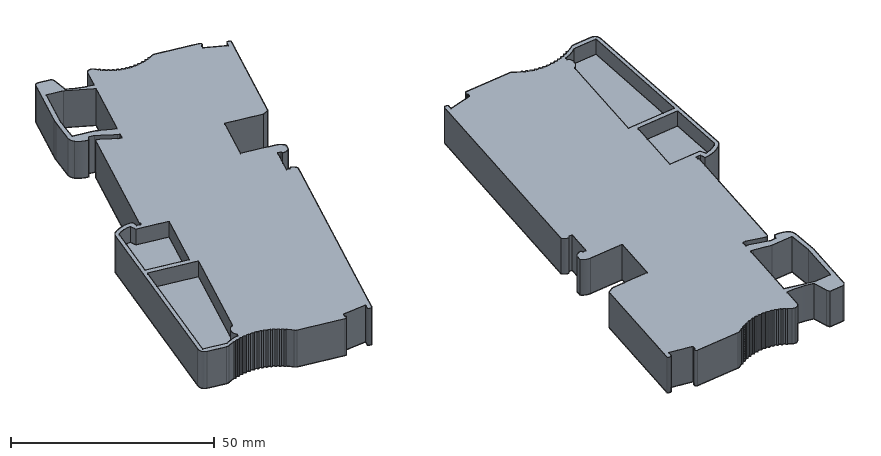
import cadquery as cq
import math

length = 107.0
width = 50.6
thickness = 12.2

housing_bottom_y = 13.55
housing_corner_radius = 1.0
block_left_x = 24.8
block_bottom_y = 7.1
block_corner_radius = 0.35
relief_left_x = 57.15
relief_right_x = 57.7
relief_top_y = 7.4

gap_right_x = 26.2
gap_bend_y = 12.6
gap_mouth_y = 7.7

latch_shoulder_y = 43.5
latch_shoulder_radius = 0.5
latch_step_x = 0.9
latch_step = 0.3
latch_floor_x = 1.75
latch_inner_x = 3.05
lip_end_x = 1.6
lip_height = 1.2
lip_radius = 0.35

slot_left_x = 29.65
slot_right_x = 41.3
slot_floor_y = 39.0
slot_left_corner_x = 28.8
slot_left_corner_y = 49.1
slot_right_corner_x = 42.2
slot_right_corner_y = 48.1

key_left_x = 44.15
key_right_x = 50.65
key_floor_y = 47.65
key_undercut_y = 48.55
key_nose_y = 48.8
key_nose = 0.45
key_mouth = 0.45

left_grip_y = 23.07
left_grip_radius = 13.1
left_grip_depth = 2.6
right_grip_y = 21.3
right_grip_radius = 15.2
right_grip_depth = 2.8
grip_end_blend = 1.3
ridge_count = 13
ridge_pitch = 1.12
ridge_radius = 0.25

clip_left_x = 0.35
clip_corner_radius = 0.8
clip_top_y = 6.35
clip_leg_x = 4.8
clip_bend_x = 15.2
clip_bend_half = 0.55
clip_hook_x = 24.3
clip_hook_y = 5.6
clip_inner_leg_x = 23.2

opening_left_x = 5.25
opening_right_x = 21.6
opening_floor_y = 1.25
opening_top_left_x = 7.15
opening_top_right_x = 22.6

sole_start_x = 59.8
sole_start_y = 0.04
sole_end_x = 105.3
sole_end_y = 5.23
sole_slope = (sole_end_y - sole_start_y) / (sole_end_x - sole_start_x)
foot_wall = 1.05
foot_hook_x = 56.4
foot_hook_y = 5.65
foot_heel_y = 7.0

pocket_depth = 5.2
rib_left_x = 73.85
rib_right_x = 75.05
small_pocket_left_x = 58.95
small_pocket_top_y = 14.2
small_pocket_toe_x = 59.3
long_pocket_top_y = 16.15
long_pocket_right_x = 105.8
bump_left_x = 100.05
bump_right_x = 103.5
bump_height = 1.05
long_pocket_corner_x = 104.1


def prism(outline):
    return outline.close().extrude(thickness)


def polygon(points):
    return prism(cq.Workplane("XY").polyline(points))


def round_edge_at(body, x, y, radius):
    """Round the vertical edge that stands at (x, y)."""
    edge_middle = (x, y, thickness / 2)
    return body.edges(cq.NearestToPointSelector(edge_middle)).fillet(radius)


def housing():
    upper = polygon([(0, housing_bottom_y), (length, housing_bottom_y), (length, width), (0, width)])
    upper = round_edge_at(upper, 0, housing_bottom_y, housing_corner_radius)
    block = polygon([
        (block_left_x, block_bottom_y),
        (relief_left_x, block_bottom_y),
        (relief_left_x, relief_top_y),
        (relief_right_x, relief_top_y),
        (relief_right_x, housing_bottom_y),
        (gap_right_x, housing_bottom_y),
        (gap_right_x, gap_bend_y),
        (block_left_x, gap_mouth_y),
    ])
    block = round_edge_at(block, block_left_x, block_bottom_y, block_corner_radius)
    return upper.union(block)


def latch_recess():
    """Recess at the top left corner, leaving a rounded lip along the top edge."""
    lip_y = width - lip_height
    return prism(
        cq.Workplane("XY")
        .moveTo(0, latch_shoulder_y - latch_shoulder_radius)
        .radiusArc((latch_shoulder_radius, latch_shoulder_y), latch_shoulder_radius)
        .lineTo(latch_step_x, latch_shoulder_y)
        .lineTo(latch_step_x, latch_shoulder_y - latch_step)
        .lineTo(latch_floor_x, latch_shoulder_y - latch_step)
        .lineTo(latch_inner_x, lip_y)
        .lineTo(lip_end_x + lip_radius, lip_y)
        .radiusArc((lip_end_x, lip_y + lip_radius), lip_radius)
        .lineTo(lip_end_x, width - lip_radius)
        .radiusArc((lip_end_x + lip_radius, width), lip_radius)
        .lineTo(0, width)
    )


def wide_slot():
    """Slot with a sloping left corner and a rounded right corner."""
    return prism(
        cq.Workplane("XY")
        .moveTo(slot_left_x, slot_floor_y)
        .lineTo(slot_left_x, slot_left_corner_y)
        .lineTo(slot_left_corner_x, width)
        .lineTo(slot_right_corner_x, width)
        .threePointArc((41.6, 49.6), (slot_right_x, slot_right_corner_y))
        .lineTo(slot_right_x, slot_floor_y)
    )


def key_slot():
    """Slot narrowed by a rounded nose on each side of its mouth."""
    nose_left_x = key_left_x + key_nose
    nose_right_x = key_right_x - key_nose
    nose_middle_y = 49.9
    nose_bulge = 0.25
    return prism(
        cq.Workplane("XY")
        .moveTo(key_left_x, key_floor_y)
        .lineTo(key_left_x, key_undercut_y)
        .lineTo(nose_left_x, key_nose_y)
        .threePointArc((nose_left_x - nose_bulge, nose_middle_y), (key_left_x - key_mouth, width))
        .lineTo(key_right_x + key_mouth, width)
        .threePointArc((nose_right_x + nose_bulge, nose_middle_y), (nose_right_x, key_nose_y))
        .lineTo(key_right_x, key_undercut_y)
        .lineTo(key_right_x, key_floor_y)
    )


def cylinder(x, y, radius):
    return cq.Workplane("XY").center(x, y).circle(radius).extrude(thickness)


def cut_grip(body, end_x, inward, centre_y, radius, depth):
    """Cut a cylindrical finger recess with fine ridges on its wall and rounded ends."""
    centre_x = end_x + inward * (depth - radius)
    cutter = cylinder(centre_x, centre_y, radius)
    pitch_angle = ridge_pitch / radius
    for index in range(ridge_count):
        angle = (index - (ridge_count - 1) / 2) * pitch_angle
        ridge_x = centre_x + inward * radius * math.cos(angle)
        ridge_y = centre_y + radius * math.sin(angle)
        cutter = cutter.cut(cylinder(ridge_x, ridge_y, ridge_radius))
    body = body.cut(cutter)

    half_opening = math.sqrt(radius**2 - (radius - depth) ** 2)
    for edge_y in (centre_y - half_opening, centre_y + half_opening):
        body = round_edge_at(body, end_x, edge_y, grip_end_blend)
    return body


def clip_foot():
    """Springy hook on the left, hanging from two legs."""
    outside = prism(
        cq.Workplane("XY")
        .moveTo(5.75, housing_bottom_y)
        .threePointArc((5.5, 9.9), (clip_leg_x, clip_top_y))
        .lineTo(1.1, 4.95)
        .lineTo(clip_left_x, 4.45)
        .lineTo(clip_left_x, clip_corner_radius)
        .radiusArc((clip_left_x + clip_corner_radius, 0), -clip_corner_radius)
        .lineTo(clip_bend_x - clip_bend_half, 0)
        .threePointArc((clip_bend_x, 0.02), (clip_bend_x + clip_bend_half, 0.08))
        .lineTo(22.0, 0.95)
        .threePointArc((22.95, 1.4), (23.6, 2.15))
        .threePointArc((24.2, 3.9), (clip_hook_x, clip_hook_y))
        .lineTo(clip_inner_leg_x, 5.9)
        .lineTo(clip_inner_leg_x, 7.4)
        .lineTo(block_left_x, 12.9)
        .lineTo(block_left_x, housing_bottom_y)
    )
    opening = polygon([
        (opening_top_left_x, housing_bottom_y),
        (opening_top_right_x, housing_bottom_y),
        (opening_top_right_x, 12.7),
        (opening_right_x, 8.0),
        (opening_right_x, 2.2),
        (15.6, opening_floor_y),
        (opening_left_x, opening_floor_y),
        (opening_left_x, 5.7),
    ])
    return outside.cut(opening)


def rail_foot():
    """Rigid foot on the right with a sloping sole and a hooked left end."""
    return prism(
        cq.Workplane("XY")
        .moveTo(relief_right_x, housing_bottom_y)
        .lineTo(relief_right_x, 6.2)
        .lineTo(foot_hook_x, foot_hook_y)
        .threePointArc((56.95, 2.6), (58.4, 0.39))
        .threePointArc((59.0, 0.06), (sole_start_x, sole_start_y))
        .lineTo(sole_end_x, sole_end_y)
        .threePointArc((106.5, 5.8), (length, foot_heel_y))
        .lineTo(length, housing_bottom_y)
    )


def pocket_floor_edge(x):
    """Point on the inner face of the sole wall."""
    return (x, sole_start_y + sole_slope * (x - sole_start_x) + foot_wall)


def pocket(outline):
    return outline.close().extrude(-pocket_depth)


def small_pocket():
    return pocket(
        cq.Workplane("XY", origin=(0, 0, thickness))
        .moveTo(small_pocket_left_x, small_pocket_top_y)
        .lineTo(rib_left_x, small_pocket_top_y)
        .lineTo(*pocket_floor_edge(rib_left_x))
        .lineTo(*pocket_floor_edge(small_pocket_toe_x))
        .threePointArc((58.2, 2.6), (57.6, 4.6))
        .lineTo(small_pocket_left_x, 5.55)
    )


def long_pocket():
    bump_middle = ((bump_left_x + bump_right_x) / 2, long_pocket_top_y - bump_height)
    return pocket(
        cq.Workplane("XY", origin=(0, 0, thickness))
        .moveTo(rib_right_x, long_pocket_top_y)
        .lineTo(bump_left_x, long_pocket_top_y)
        .threePointArc(bump_middle, (bump_right_x, long_pocket_top_y))
        .lineTo(long_pocket_corner_x, long_pocket_top_y)
        .threePointArc((104.8, 14.2), (long_pocket_right_x, 12.7))
        .lineTo(*pocket_floor_edge(long_pocket_right_x))
        .lineTo(*pocket_floor_edge(rib_right_x))
    )


left_latch = latch_recess()
right_latch = left_latch.mirror("YZ").translate((length, 0, 0))

result = housing().union(clip_foot()).union(rail_foot())
result = result.cut(left_latch).cut(right_latch)
result = result.cut(wide_slot()).cut(key_slot())
result = cut_grip(result, 0, 1, left_grip_y, left_grip_radius, left_grip_depth)
result = cut_grip(result, length, -1, right_grip_y, right_grip_radius, right_grip_depth)
result = result.cut(small_pocket()).cut(long_pocket())